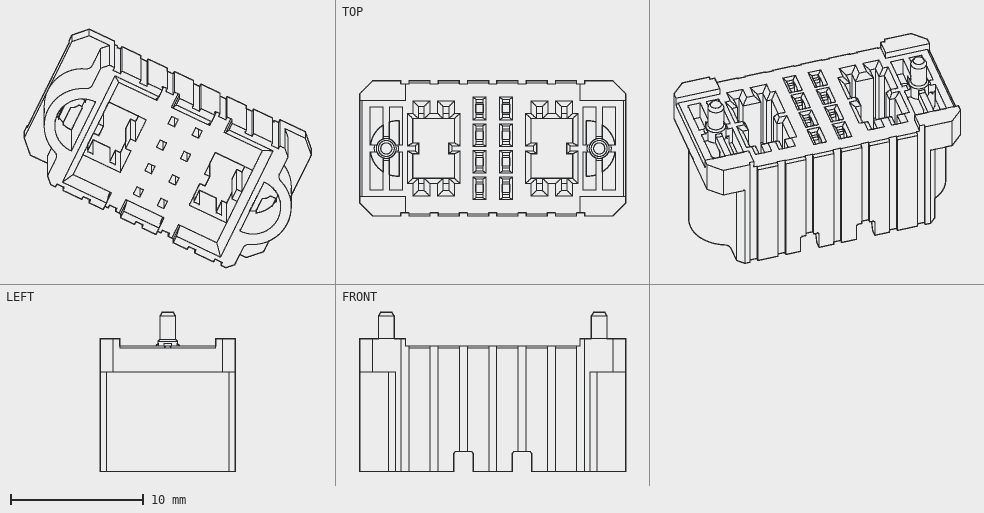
import cadquery as cq
import math

LENGTH = 20.05
WIDTH = 10.2
EAR_TOP = 10.02
DECK = 9.48
PIN_TOP = 12.0
FLANGE_BOTTOM = 7.5
FLANGE_CORNER = 0.98
BODY_LENGTH = 15.68
BODY_CORNER = 0.5
EAR_INNER_X = 6.55
EAR_INNER_Y = 3.6
EDGE_BEVEL = 0.18

GROOVE_PITCH = 2.2
GROOVE_WIDTH = 0.6
GROOVE_DEPTH = 0.25
GROOVES_PER_SIDE = 7

NOTCH_WIDTH = 1.45
NOTCH_HEIGHT = 1.5
NOTCH_CORNER = 0.12

CAVITY_WALL = 0.56
CAVITY_TAPER = 0.6

BOSS_RADIUS = 2.89
BOSS_X = LENGTH / 2 - BOSS_RADIUS
BOSS_FILLET = 0.5
BORE_RADIUS = 2.09
BORE_INNER_X = 7.05

POCKET_X = 8.02
POCKET_LENGTH = 2.45
POCKET_WIDTH = 6.24
POCKET_FLOOR = FLANGE_BOTTOM + 0.5
CROSS_BAR_X = 0.55
CROSS_BAR_Y = 0.48
CROSS_CENTRE_HEIGHT = 0.75
BORE_TOP = DECK - CROSS_CENTRE_HEIGHT

PIN_RADIUS = 0.6
PIN_TIP_RADIUS = 0.42
PIN_TIP_HEIGHT = 0.3
COLLAR_RADIUS = 0.752
COLLAR_TOP = 9.96
COLLAR_CHAMFER = COLLAR_RADIUS - PIN_RADIUS
GUSSET_SIZE = 0.16

OPENING_X = 4.45
OPENING_LENGTH = 3.13
OPENING_WIDTH = 4.5
LEAD_IN = 0.42
KEYWAY_PITCH = 1.86
KEYWAY_WIDTH = 0.45
KEYWAY_REACH = 3.17
KEYWAY_SHELF = 2.65
KEYWAY_FLOOR = 4.0
TAB_LENGTH = 0.45
TAB_WIDTH = 0.82
TAB_TOP_WIDTH = 0.4
TAB_TOP_SETBACK = 0.26

HOLE_PITCH = 2.0
HOLE_COLUMNS = 2
HOLE_ROWS = 4
HOLE_MOUTH_X = 1.0
HOLE_MOUTH_Y = 1.7
HOLE_THROAT_X = 0.5
HOLE_THROAT_Y = 1.38
HOLE_LEAD_IN = 0.26
HOLE_LEDGE_DEPTH = 0.56
HOLE_FUNNEL_Y = 0.92
HOLE_FUNNEL_DEPTH = 0.16
HOLE_THROUGH_X = 0.55
HOLE_THROUGH_Y = 0.62


def block(x0, x1, y0, y1, z0, z1):
    """Box between two opposite corners."""
    return cq.Workplane("XY").box(x1 - x0, y1 - y0, z1 - z0, centered=False).translate((x0, y0, z0))


def centred_block(x, y, length, width, z0, z1):
    """Box centred on (x, y) between two heights."""
    return block(x - length / 2, x + length / 2, y - width / 2, y + width / 2, z0, z1)


def funnel(x, y, top, top_size, bottom_size, depth):
    """Tapered rectangular solid hanging down from the given height."""
    return (
        cq.Workplane("XY", origin=(x, y, top))
        .rect(*top_size)
        .workplane(offset=-depth)
        .rect(*bottom_size)
        .loft(ruled=True)
    )


def both_ends(solid):
    """The solid together with its mirror image at the other X end."""
    return solid.union(solid.mirror("YZ"))


def make_boss():
    """End boss, blended into the end wall of the body by concave fillets."""
    wall = BODY_LENGTH / 2
    blend_x = wall + BOSS_FILLET
    blend_y = math.sqrt((BOSS_RADIUS + BOSS_FILLET) ** 2 - (blend_x - BOSS_X) ** 2)
    share = BOSS_RADIUS / (BOSS_RADIUS + BOSS_FILLET)
    touch_x = BOSS_X + (blend_x - BOSS_X) * share
    touch_y = blend_y * share
    return (
        cq.Workplane("XY")
        .moveTo(BOSS_X, -blend_y)
        .lineTo(wall, -blend_y)
        .radiusArc((touch_x, -touch_y), BOSS_FILLET)
        .threePointArc((LENGTH / 2, 0), (touch_x, touch_y))
        .radiusArc((wall, blend_y), BOSS_FILLET)
        .lineTo(BOSS_X, blend_y)
        .close()
        .extrude(FLANGE_BOTTOM)
    )


def make_shell():
    """Body, flanges, ears and end bosses before any opening is cut."""
    body = centred_block(0, 0, BODY_LENGTH, WIDTH, 0, FLANGE_BOTTOM).edges("|Z").chamfer(BODY_CORNER)
    flange = centred_block(0, 0, LENGTH, WIDTH, FLANGE_BOTTOM, EAR_TOP).edges("|Z").chamfer(FLANGE_CORNER)
    shell = body.union(flange).union(both_ends(make_boss()))
    shell = shell.cut(centred_block(0, 0, 2 * EAR_INNER_X, WIDTH, DECK, EAR_TOP))
    return shell.cut(centred_block(0, 0, LENGTH, 2 * EAR_INNER_Y, DECK, EAR_TOP))


def bevel_prism(plane, edge, span):
    """Triangular prism that bevels a deck edge lying at the given outer distance."""
    return (
        cq.Workplane(plane)
        .polyline([(edge, DECK), (edge - EDGE_BEVEL, DECK), (edge, DECK - EDGE_BEVEL)])
        .close()
        .extrude(span / 2, both=True)
    )


def cut_outside(shell):
    """Deck edge bevels, side grooves and bottom notches."""
    shell = shell.cut(both_ends(bevel_prism("XZ", LENGTH / 2, 2 * EAR_INNER_Y)))
    side_bevel = bevel_prism("YZ", WIDTH / 2, (GROOVES_PER_SIDE - 1) * GROOVE_PITCH)
    shell = shell.cut(side_bevel).cut(side_bevel.mirror("XZ"))
    for i in range(GROOVES_PER_SIDE):
        x = (i - (GROOVES_PER_SIDE - 1) / 2) * GROOVE_PITCH
        for side in (-1, 1):
            shell = shell.cut(
                centred_block(x, side * WIDTH / 2, GROOVE_WIDTH, 2 * GROOVE_DEPTH, 0, EAR_TOP)
            )
    notch = centred_block(GROOVE_PITCH, 0, NOTCH_WIDTH, WIDTH, 0, NOTCH_HEIGHT)
    notch = notch.edges("|Y and >Z").chamfer(NOTCH_CORNER)
    return shell.cut(both_ends(notch))


def make_pocket():
    """Flange pocket less the cross bars, and the boss bore that undercuts their middle."""
    pocket = centred_block(POCKET_X, 0, POCKET_LENGTH, POCKET_WIDTH, POCKET_FLOOR, DECK)
    bore = cq.Workplane("XY").center(BOSS_X, 0).circle(BORE_RADIUS).extrude(BORE_TOP)
    bore = bore.intersect(block(BORE_INNER_X, LENGTH / 2, -WIDTH / 2, WIDTH / 2, 0, BORE_TOP))
    return pocket.cut(make_cross(DECK)).union(bore)


def make_cross(top):
    """Crossed bars spanning the pocket, from its floor up to the given height."""
    along_x = centred_block(POCKET_X, 0, POCKET_LENGTH, CROSS_BAR_X, POCKET_FLOOR, top)
    along_y = centred_block(POCKET_X, 0, CROSS_BAR_Y, POCKET_WIDTH, POCKET_FLOOR, top)
    return along_x.union(along_y)


def make_pin():
    """Guide pin with its collar and the small gussets on the cross bars."""
    pin = (
        cq.Workplane("XZ", origin=(POCKET_X, 0, 0))
        .polyline([
            (0, BORE_TOP),
            (COLLAR_RADIUS, BORE_TOP),
            (COLLAR_RADIUS, COLLAR_TOP - COLLAR_CHAMFER),
            (PIN_RADIUS, COLLAR_TOP),
            (PIN_RADIUS, PIN_TOP - PIN_TIP_HEIGHT),
            (PIN_TIP_RADIUS, PIN_TOP),
            (0, PIN_TOP),
        ])
        .close()
        .revolve(360, (0, 0, 0), (0, 1, 0))
    )
    gusset_cone = (
        cq.Workplane("XZ", origin=(POCKET_X, 0, 0))
        .polyline([
            (0, DECK),
            (COLLAR_RADIUS + GUSSET_SIZE, DECK),
            (COLLAR_RADIUS, DECK + GUSSET_SIZE),
            (0, DECK + GUSSET_SIZE),
        ])
        .close()
        .revolve(360, (0, 0, 0), (0, 1, 0))
    )
    return pin.union(gusset_cone.intersect(make_cross(DECK + GUSSET_SIZE)))


def make_keyway(x):
    """Groove across the opening: flared mouth, shaft and shelf sloping into the opening."""
    reach = 2 * KEYWAY_REACH
    mouth = funnel(
        x, 0, DECK,
        (KEYWAY_WIDTH + 2 * LEAD_IN, reach + 2 * LEAD_IN),
        (KEYWAY_WIDTH, reach),
        LEAD_IN,
    )
    shaft = centred_block(x, 0, KEYWAY_WIDTH, reach, KEYWAY_FLOOR, DECK - LEAD_IN)
    slope_drop = KEYWAY_SHELF - OPENING_WIDTH / 2
    slope = funnel(
        x, 0, KEYWAY_FLOOR,
        (KEYWAY_WIDTH, 2 * KEYWAY_SHELF),
        (KEYWAY_WIDTH, OPENING_WIDTH),
        slope_drop,
    )
    return mouth.union(shaft).union(slope)


def make_tab(side):
    """Locating tab on one end wall of the opening, narrowing towards the deck."""
    root = OPENING_LENGTH / 2 + LEAD_IN
    foot_length = LEAD_IN + TAB_LENGTH
    tip_length = foot_length - TAB_TOP_SETBACK
    head = (
        cq.Workplane("XY", origin=(0, 0, DECK - LEAD_IN))
        .center(root - foot_length / 2, 0)
        .rect(foot_length, TAB_WIDTH)
        .workplane(offset=LEAD_IN)
        .center(TAB_TOP_SETBACK / 2, 0)
        .rect(tip_length, TAB_TOP_WIDTH)
        .loft(ruled=True)
    )
    tab = head.union(block(root - foot_length, root, -TAB_WIDTH / 2, TAB_WIDTH / 2, 0, DECK - LEAD_IN))
    if side < 0:
        tab = tab.mirror("YZ")
    return tab.translate((OPENING_X, 0, 0))


def make_opening():
    """Large contact opening with lead-in, keyways and two tabs."""
    opening = centred_block(OPENING_X, 0, OPENING_LENGTH, OPENING_WIDTH, 0, DECK).union(
        funnel(
            OPENING_X, 0, DECK,
            (OPENING_LENGTH + 2 * LEAD_IN, 2 * KEYWAY_SHELF),
            (OPENING_LENGTH, OPENING_WIDTH),
            LEAD_IN,
        )
    )
    for side in (-1, 1):
        opening = opening.union(make_keyway(OPENING_X + side * KEYWAY_PITCH / 2))
        opening = opening.cut(make_tab(side))
    return opening


def make_cavity():
    """Cavity in the underside, tapering from the thin side walls to the outer opening ends."""
    inner_length = 2 * OPENING_X + OPENING_LENGTH
    mouth_width = WIDTH - 2 * CAVITY_WALL
    return funnel(
        0, 0, NOTCH_HEIGHT,
        (inner_length, mouth_width - 2 * CAVITY_TAPER),
        (inner_length + 2 * CAVITY_TAPER, mouth_width),
        NOTCH_HEIGHT,
    )


def make_small_hole(x, y):
    """Small contact hole: flared mouth, throat, funnel ledge and rectangular through hole."""
    throat = (HOLE_THROAT_X, HOLE_THROAT_Y)
    ledge = DECK - HOLE_LEDGE_DEPTH
    mouth = funnel(x, y, DECK, (HOLE_MOUTH_X, HOLE_MOUTH_Y), throat, HOLE_LEAD_IN)
    shaft = centred_block(x, y, *throat, ledge, DECK - HOLE_LEAD_IN)
    ledge_funnel = funnel(
        x, y, ledge,
        (HOLE_THROAT_X, HOLE_FUNNEL_Y),
        (HOLE_THROAT_X, HOLE_THROUGH_Y),
        HOLE_FUNNEL_DEPTH,
    )
    through = centred_block(x, y, HOLE_THROUGH_X, HOLE_THROUGH_Y, 0, DECK)
    return mouth.union(shaft).union(ledge_funnel).union(through)


result = cut_outside(make_shell())
result = result.cut(make_cavity()).cut(both_ends(make_pocket())).cut(both_ends(make_opening()))
for column in range(HOLE_COLUMNS):
    for row in range(HOLE_ROWS):
        hole_x = (column - (HOLE_COLUMNS - 1) / 2) * HOLE_PITCH
        hole_y = (row - (HOLE_ROWS - 1) / 2) * HOLE_PITCH
        result = result.cut(make_small_hole(hole_x, hole_y))
result = result.union(both_ends(make_pin()))